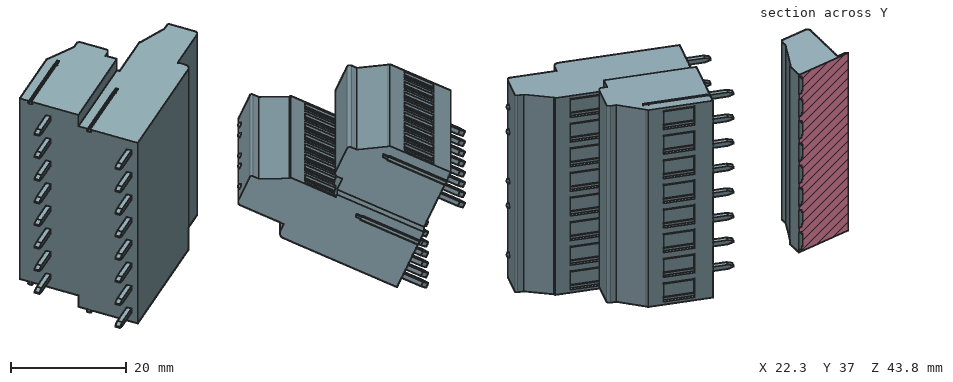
import cadquery as cq

POLES = 8
PITCH = 5.08
ROW_LENGTH = POLES * PITCH
STAGGER = PITCH / 2
DEPTH = 22.3
SPLIT_X = 11.1

FRONT_SHOULDER_Y = 11.6
FRONT_LIP_WIDTH = 0.25
FRONT_LIP_HEIGHT = 0.33
FRONT_SLOPE_TOP_Y = 16.5
FRONT_TOP_X = 3.0
FRONT_TOP_Y = 18.15
FRONT_BACK_X = 8.93
FLOOR_Y = 16.55

REAR_FACE_X = 11.6
REAR_SHOULDER_Y = 25.15
REAR_LIP_WIDTH = 0.25
REAR_LIP_HEIGHT = 0.15
REAR_SLOPE_TOP_Y = 30.1
REAR_TOP_X = 14.1
REAR_TOP_Y = 31.6
REAR_BACK_X = 19.9
REAR_LEDGE_Y = 22.65

FRONT_CREST_FRONT_RADIUS = 0.55
FRONT_CREST_BACK_RADIUS = 0.7
REAR_CREST_FRONT_RADIUS = 0.35
REAR_CREST_BACK_RADIUS = 0.7
LEDGE_RADIUS = 1.0

PIN_LENGTH = 5.0
PIN_WIDTH = 0.9
PIN_TAPER_LENGTH = 1.0
PIN_TIP_THICKNESS = 0.25
FRONT_PIN_X = 5.43
REAR_PIN_X = FRONT_PIN_X + 3 * PITCH

WINDOW_LENGTH = 3.85
FRONT_WINDOW_BOTTOM_Y = 3.25
FRONT_WINDOW_TOP_Y = 8.82
REAR_WINDOW_BOTTOM_Y = FLOOR_Y
REAR_WINDOW_TOP_Y = 22.4
WINDOW_DEPTH = 0.55
STEP_MARGIN = 0.53
STEP_DEPTH = 0.22

FRONT_RAIL_X = 2.0
REAR_RAIL_X = SPLIT_X + FRONT_RAIL_X
RAIL_HEIGHT = 0.6
RAIL_WIDEST_HEIGHT = 0.4
RAIL_NECK_WIDTH = 0.4
RAIL_HEAD_WIDTH = 0.9
RAIL_END_WIDTH = 0.6
RAIL_HEAD_LENGTH = 11.0
RAIL_LENGTH = 12.0

DOME_POSITIONS = (1, 3, 4, 6, 7)
DOME_X = 18.45
DOME_HEIGHT = 0.4
DOME_BASE_RADIUS = 0.5


def front_block():
    outline = (
        cq.Workplane("XY")
        .moveTo(0, 0)
        .lineTo(SPLIT_X, 0)
        .lineTo(SPLIT_X, FLOOR_Y)
        .lineTo(FRONT_BACK_X, FLOOR_Y)
        .lineTo(FRONT_BACK_X, FRONT_TOP_Y)
        .lineTo(FRONT_TOP_X, FRONT_TOP_Y)
        .lineTo(FRONT_TOP_X, FRONT_SLOPE_TOP_Y)
        .lineTo(FRONT_LIP_WIDTH, FRONT_SHOULDER_Y + FRONT_LIP_HEIGHT)
        .lineTo(0, FRONT_SHOULDER_Y)
        .close()
    )
    block = outline.extrude(ROW_LENGTH)
    block = round_edge(block, FRONT_TOP_X, FRONT_TOP_Y, FRONT_CREST_FRONT_RADIUS)
    block = round_edge(block, FRONT_BACK_X, FRONT_TOP_Y, FRONT_CREST_BACK_RADIUS)
    return block.translate((0, 0, STAGGER))


def rear_block():
    outline = (
        cq.Workplane("XY")
        .moveTo(SPLIT_X, 0)
        .lineTo(DEPTH, 0)
        .lineTo(DEPTH, REAR_LEDGE_Y)
        .lineTo(REAR_BACK_X, REAR_LEDGE_Y)
        .lineTo(REAR_BACK_X, REAR_TOP_Y)
        .lineTo(REAR_TOP_X, REAR_TOP_Y)
        .lineTo(REAR_TOP_X, REAR_SLOPE_TOP_Y)
        .lineTo(REAR_FACE_X + REAR_LIP_WIDTH, REAR_SHOULDER_Y + REAR_LIP_HEIGHT)
        .lineTo(REAR_FACE_X, REAR_SHOULDER_Y)
        .lineTo(REAR_FACE_X, FLOOR_Y)
        .lineTo(SPLIT_X, FLOOR_Y)
        .close()
    )
    block = outline.extrude(ROW_LENGTH)
    block = round_edge(block, REAR_TOP_X, REAR_TOP_Y, REAR_CREST_FRONT_RADIUS)
    block = round_edge(block, REAR_BACK_X, REAR_TOP_Y, REAR_CREST_BACK_RADIUS)
    block = round_edge(block, DEPTH, REAR_LEDGE_Y, LEDGE_RADIUS)
    return block


def round_edge(block, x, y, radius):
    """Fillet the Z-direction edge that passes through (x, y)."""
    edge = cq.selectors.NearestToPointSelector((x, y, ROW_LENGTH / 2))
    return block.edges("|Z").edges(edge).fillet(radius)


def pin(x, z):
    """A bar pointing to -Y whose tip tapers in Z only."""
    half = PIN_WIDTH / 2
    half_tip = PIN_TIP_THICKNESS / 2
    taper_y = PIN_TAPER_LENGTH - PIN_LENGTH
    return (
        cq.Workplane("YZ", origin=(x, 0, z))
        .polyline([
            (0, half),
            (taper_y, half),
            (-PIN_LENGTH, half_tip),
            (-PIN_LENGTH, -half_tip),
            (taper_y, -half),
            (0, -half),
        ])
        .close()
        .extrude(half, both=True)
    )


def window(face_x, bottom_y, top_y, z):
    """Cutter for a recess whose middle is stepped deeper over its full height."""
    height = top_y - bottom_y
    recess = (
        cq.Workplane("XY")
        .box(WINDOW_DEPTH, height, WINDOW_LENGTH, centered=(False, False, True))
    )
    step_length = WINDOW_LENGTH - 2 * STEP_MARGIN
    step = (
        cq.Workplane("XY")
        .box(WINDOW_DEPTH + STEP_DEPTH, height, step_length, centered=(False, False, True))
    )
    return recess.union(step).translate((face_x, bottom_y, z))


def rail(x, z):
    """A waisted bar below plane z: a wide head along most of Y, then a narrow tip."""
    neck = RAIL_NECK_WIDTH / 2
    head = RAIL_HEAD_WIDTH / 2
    end = RAIL_END_WIDTH / 2
    wide_part = (
        cq.Workplane("XZ", origin=(x, 0, z))
        .polyline([
            (-neck, 0),
            (-head, -RAIL_WIDEST_HEIGHT),
            (-end, -RAIL_HEIGHT),
            (end, -RAIL_HEIGHT),
            (head, -RAIL_WIDEST_HEIGHT),
            (neck, 0),
        ])
        .close()
        .extrude(-RAIL_HEAD_LENGTH)
    )
    tip = (
        cq.Workplane("XY", origin=(x, 0, z - RAIL_HEIGHT))
        .box(RAIL_NECK_WIDTH, RAIL_LENGTH, RAIL_HEIGHT, centered=(True, False, False))
    )
    return wide_part.union(tip)


def dome(z):
    """A spherical cap on the crest of the rear block."""
    sphere_radius = (DOME_BASE_RADIUS**2 + DOME_HEIGHT**2) / (2 * DOME_HEIGHT)
    centre_y = REAR_TOP_Y + DOME_HEIGHT - sphere_radius
    return cq.Workplane("XY").sphere(sphere_radius).translate((DOME_X, centre_y, z))


result = front_block().union(rear_block())

rows = (
    (STAGGER, FRONT_RAIL_X, FRONT_PIN_X, 0, FRONT_WINDOW_BOTTOM_Y, FRONT_WINDOW_TOP_Y),
    (0, REAR_RAIL_X, REAR_PIN_X, REAR_FACE_X, REAR_WINDOW_BOTTOM_Y, REAR_WINDOW_TOP_Y),
)
for start_z, rail_x, pin_x, face_x, bottom_y, top_y in rows:
    result = result.cut(rail(rail_x, start_z + ROW_LENGTH))
    result = result.union(rail(rail_x, start_z))
    for pole in range(POLES):
        pole_z = start_z + (pole + 0.5) * PITCH
        result = result.cut(window(face_x, bottom_y, top_y, pole_z))
        result = result.union(pin(pin_x, pole_z))

for position in DOME_POSITIONS:
    result = result.union(dome(position * PITCH))